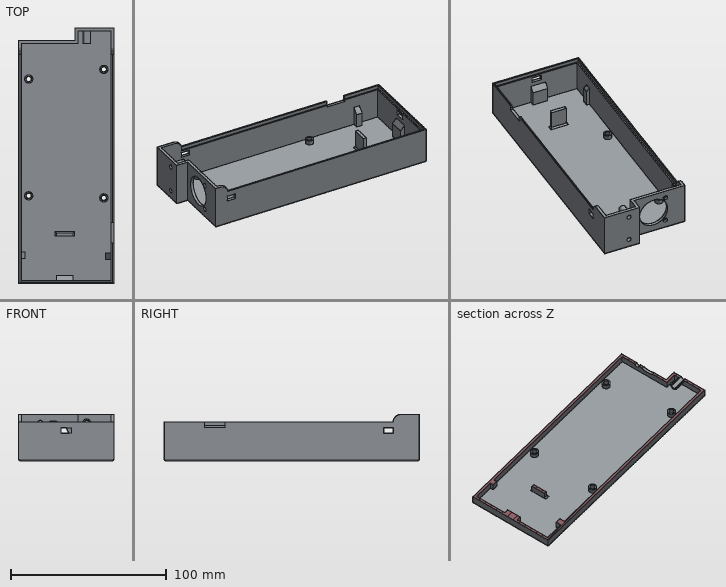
import cadquery as cq
import math

WIDTH = 61.4
LENGTH = 164.0
BACK_HEIGHT = 30.0
RIM_HEIGHT = 25.1
WALL = 2.0
FLOOR = 2.0
BOTTOM_ROUND = 1.5

STEP_X = 36.3
STEP_DEPTH = 8.0
PANEL_Y = LENGTH - STEP_DEPTH

SWEEP_START_Y = 152.2
SWEEP_RADIUS = 5.2
SWEEP_DROP = BACK_HEIGHT - RIM_HEIGHT
SWEEP_REACH = math.sqrt(SWEEP_RADIUS**2 - (SWEEP_RADIUS - SWEEP_DROP) ** 2)
SWEEP_END_Y = SWEEP_START_Y - SWEEP_REACH

LIP = 1.0
REBATE_DEPTH = 2.3

NOTCH_Y = 26.1
NOTCH_LENGTH = 13.0
NOTCH_DEPTH = 3.5

SLOT_BOTTOM = 17.9
SLOT_HEIGHT = 3.5
SIDE_SLOT_Y = 141.3
SIDE_SLOT_LENGTH = 5.9
FRONT_SLOT_X = 27.4
FRONT_SLOT_LENGTH = 6.7

STANDOFF_DIAMETER = 5.2
STANDOFF_HOLE = 3.3
STANDOFF_HEIGHT = 3.0
STANDOFFS = [(6.5, 131.2), (54.8, 137.5), (6.5, 56.3), (54.8, 55.0)]

FAN_OPENING = 20.0
FAN_X = 22.3
FAN_Z = 15.6
SCREW_HOLE = 3.0
SCREW_BOSS = 5.0
SCREW_LEFT_X = 14.0
SCREW_RIGHT_X = 43.8
SCREW_SPACING_Z = 18.0

SUPPORT_X = 24.5
SUPPORT_LENGTH = 10.5
TAB_FRONT_Y = 30.4
TAB_THICKNESS = 2.1
TAB_TOP = 14.8
TAB_FLARE = 1.0
POST_LENGTH = 4.1
POST_TOP = 15.0
LEFT_POST_Y = 16.0
LEFT_POST_DEPTH = 2.1
RIGHT_POST_Y = 15.5
RIGHT_POST_DEPTH = 3.6
FRONT_POST_DEPTH = 3.1


def box(x, y, z, dx, dy, dz):
    """Box from its lowest corner and its three side lengths."""
    return cq.Workplane("XY").box(dx, dy, dz, centered=False).translate((x, y, z))


def plan(inset, bottom, top):
    """Stepped plan outline, moved inward by inset, as a vertical prism."""
    points = [
        (inset, inset),
        (WIDTH - inset, inset),
        (WIDTH - inset, LENGTH - inset),
        (STEP_X + inset, LENGTH - inset),
        (STEP_X + inset, PANEL_Y - inset),
        (inset, PANEL_Y - inset),
    ]
    return cq.Workplane("XY").workplane(offset=bottom).polyline(points).close().extrude(top - bottom)


def rod(diameter, x, z, y_start, y_end):
    """Cylinder along Y."""
    base = cq.Workplane("XZ", origin=(x, y_start, z))
    return base.circle(diameter / 2).extrude(y_start - y_end)


def tray():
    """Open shell with a high back and a lower rim."""
    shell = plan(0, 0, BACK_HEIGHT).faces("<Z").edges().fillet(BOTTOM_ROUND)
    shell = shell.cut(plan(WALL, FLOOR, BACK_HEIGHT))
    above_rim = box(0, 0, RIM_HEIGHT, WIDTH, SWEEP_START_Y, SWEEP_DROP)
    sweep = cq.Workplane("YZ", origin=(0, SWEEP_START_Y, BACK_HEIGHT - SWEEP_RADIUS))
    return shell.cut(above_rim.cut(sweep.circle(SWEEP_RADIUS).extrude(WIDTH)))


def rim_rebate():
    """Space removed inside the lip, from the front to the foot of the sweep."""
    length = SWEEP_END_Y - LIP
    return box(LIP, LIP, RIM_HEIGHT - REBATE_DEPTH, WIDTH - 2 * LIP, length, REBATE_DEPTH)


def wall_openings():
    """Rim notch and latch slots."""
    notch = box(WIDTH - WALL, NOTCH_Y, RIM_HEIGHT - NOTCH_DEPTH, WALL, NOTCH_LENGTH, NOTCH_DEPTH)
    side_slots = box(0, SIDE_SLOT_Y, SLOT_BOTTOM, WIDTH, SIDE_SLOT_LENGTH, SLOT_HEIGHT)
    front_slot = box(FRONT_SLOT_X, 0, SLOT_BOTTOM, FRONT_SLOT_LENGTH, WALL, SLOT_HEIGHT)
    return notch.union(side_slots).union(front_slot)


def tab():
    """Upright tab, flared at its foot on the back and both ends."""
    upright = box(SUPPORT_X, TAB_FRONT_Y, FLOOR, SUPPORT_LENGTH, TAB_THICKNESS, TAB_TOP - FLOOR)
    end_flare = (
        cq.Workplane("XZ", origin=(0, TAB_FRONT_Y, FLOOR))
        .moveTo(SUPPORT_X - TAB_FLARE, 0)
        .lineTo(SUPPORT_X + SUPPORT_LENGTH + TAB_FLARE, 0)
        .lineTo(SUPPORT_X + SUPPORT_LENGTH, TAB_FLARE)
        .lineTo(SUPPORT_X, TAB_FLARE)
        .close()
        .extrude(-TAB_THICKNESS - TAB_FLARE)
    )
    back_flare = (
        cq.Workplane("YZ", origin=(SUPPORT_X - TAB_FLARE, TAB_FRONT_Y, FLOOR))
        .lineTo(TAB_THICKNESS + TAB_FLARE, 0)
        .lineTo(TAB_THICKNESS, TAB_FLARE)
        .lineTo(0, TAB_FLARE)
        .close()
        .extrude(SUPPORT_LENGTH + 2 * TAB_FLARE)
    )
    foot = end_flare.intersect(back_flare)
    return upright.union(foot)


def post(plane, origin, depth, length):
    """Wall post whose top slopes down at 45 degrees away from the wall.

    A negative depth builds toward the negative side of the origin.
    """
    points = [(0, FLOOR), (depth, FLOOR), (depth, POST_TOP - abs(depth)), (0, POST_TOP)]
    return cq.Workplane(plane, origin=origin).polyline(points).close().extrude(length)


def standoffs():
    """Solid floor standoffs."""
    base = cq.Workplane("XY", origin=(0, 0, FLOOR)).pushPoints(STANDOFFS)
    return base.circle(STANDOFF_DIAMETER / 2).extrude(STANDOFF_HEIGHT)


def standoff_holes():
    """Holes through the standoffs and the floor."""
    base = cq.Workplane("XY").pushPoints(STANDOFFS)
    return base.circle(STANDOFF_HOLE / 2).extrude(FLOOR + STANDOFF_HEIGHT)


def add_fan_mount(body):
    """Fan opening, two screw holes in the panel and two bored bosses on the back wall."""
    panel_inside_y = PANEL_Y - WALL
    body = body.cut(rod(FAN_OPENING, FAN_X, FAN_Z, panel_inside_y, PANEL_Y))
    for z in (FAN_Z - SCREW_SPACING_Z / 2, FAN_Z + SCREW_SPACING_Z / 2):
        body = body.union(rod(SCREW_BOSS, SCREW_RIGHT_X, z, panel_inside_y, LENGTH - WALL))
        body = body.cut(rod(SCREW_HOLE, SCREW_RIGHT_X, z, panel_inside_y, LENGTH))
        body = body.cut(rod(SCREW_HOLE, SCREW_LEFT_X, z, panel_inside_y, PANEL_Y))
    return body


def posts():
    """Sloped posts on the left, right and front walls."""
    left = post("XZ", (WALL, LEFT_POST_Y, 0), LEFT_POST_DEPTH, -POST_LENGTH)
    right = post("XZ", (WIDTH - WALL, RIGHT_POST_Y, 0), -RIGHT_POST_DEPTH, -POST_LENGTH)
    front = post("YZ", (SUPPORT_X, WALL, 0), FRONT_POST_DEPTH, SUPPORT_LENGTH)
    return left.union(right).union(front)


body = tray().cut(rim_rebate()).cut(wall_openings())
body = body.union(standoffs()).cut(standoff_holes())
body = add_fan_mount(body)
result = body.union(tab()).union(posts())